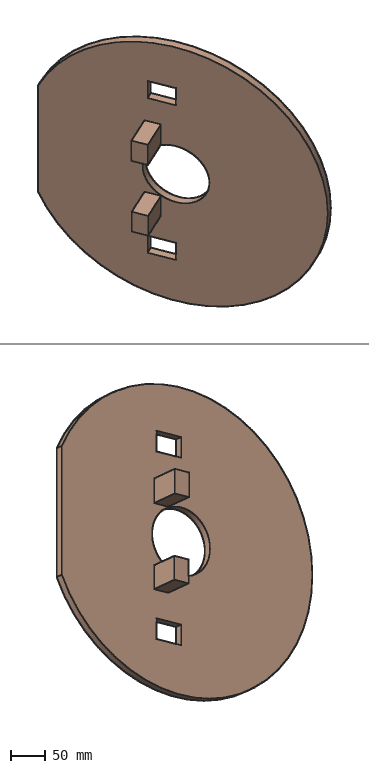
import cadquery as cq

DISC_DIAMETER = 478.2
DISC_THICKNESS = 13.0
OVERALL_WIDTH = 456.3
BORE_DIAMETER = 105.0

SLOT_WIDTH = 44.5
SLOT_HEIGHT = 32.0
SLOT_CENTER_Z = 146.0

PEG_LEFT_X = -49.3
PEG_WIDTH = 26.0
PEG_INNER_Z = 48.5
UPPER_PEG_HEIGHT = 38.3
UPPER_PEG_LENGTH = 50.5
LOWER_PEG_HEIGHT = 37.5
LOWER_PEG_LENGTH = 49.5

disc_radius = DISC_DIAMETER / 2
flat_x = disc_radius - OVERALL_WIDTH


def plate_block(width, height):
    """A block as thick as the disc, centred in X and Z, with its front face at Y = 0."""
    return cq.Workplane("XY").box(width, DISC_THICKNESS, height, centered=(True, False, True))


def make_disc():
    """Round plate with a flat on its -X side, a central bore and two slots."""
    disc = cq.Workplane("XZ").circle(disc_radius).circle(BORE_DIAMETER / 2).extrude(-DISC_THICKNESS)
    envelope = plate_block(OVERALL_WIDTH, DISC_DIAMETER).translate((flat_x + OVERALL_WIDTH / 2, 0, 0))
    disc = disc.intersect(envelope)
    for side in (1, -1):
        slot = plate_block(SLOT_WIDTH, SLOT_HEIGHT)
        disc = disc.cut(slot.translate((-SLOT_WIDTH / 2, 0, side * SLOT_CENTER_Z)))
    return disc


def make_peg(side, height, length):
    """Rectangular peg above (side = 1) or below (side = -1) the bore, standing out toward -Y."""
    center = (PEG_LEFT_X + PEG_WIDTH / 2, -length / 2, side * (PEG_INNER_Z + height / 2))
    return cq.Workplane("XY").box(PEG_WIDTH, length, height).translate(center)


disc = make_disc()
pegs = [
    make_peg(side, height, length)
    for side, height, length in (
        (1, UPPER_PEG_HEIGHT, UPPER_PEG_LENGTH),
        (-1, LOWER_PEG_HEIGHT, LOWER_PEG_LENGTH),
    )
]

result = cq.Compound.makeCompound([disc.val(), *[peg.val() for peg in pegs]])